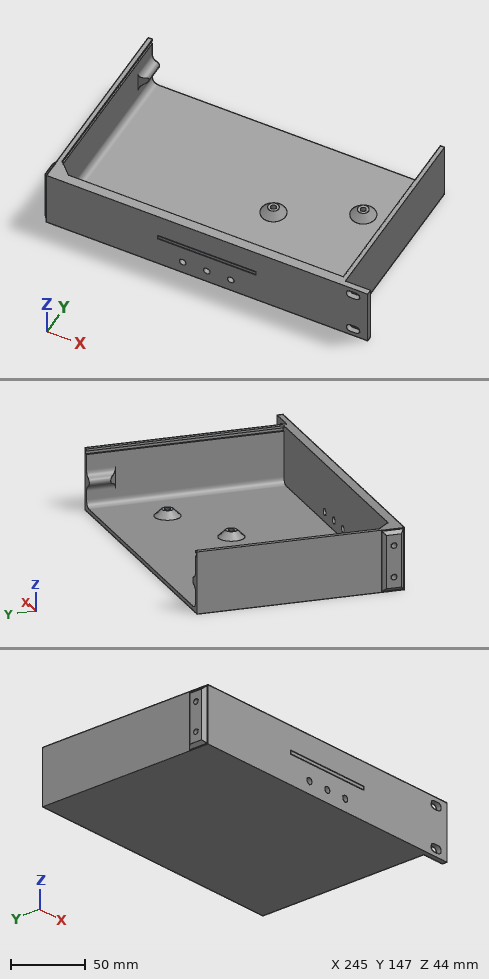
import cadquery as cq
import math

length = 245.0
depth = 147.0
height = 44.0

tab_thickness = 2.7
ear_length = 18.9
ear_thickness = 4.2
wall = 3.2
floor = 3.0
panel_thickness = 7.0
corner_leg = 9.8
floor_fillet = 5.0
tray_left = tab_thickness
tray_right = length - ear_length
inner_left = tray_left + wall
inner_right = tray_right - wall
tray_middle = (tray_left + tray_right) / 2

groove_top = height - 1.5
groove_height = 2.5
groove_depth = 1.7

tab_inset = 0.7
tab_slope = 2.5
tab_back = 16.2
tab_hole_y = 8.3
tab_hole_diameter = 4.0
tab_hole_spacing = 22.3
tab_hole_depth = 7.4

slot_length = 10.0
slot_width = 6.0
slot_x = 234.0
slot_spacing = 31.9

led_diameter = 5.0
led_spacing = 18.1
led_middle_x = 123.8
led_z = 9.8
line_length = 74.0
line_width = 2.7
line_z = 24.5
line_depth = 0.5

standoff_places = [(134.3, 76.0), (188.5, 102.0)]
standoff_base_diameter = 18.1
standoff_top_diameter = 7.8
standoff_height = 5.0
standoff_hole_diameter = 4.0
standoff_hole_depth = standoff_height

rib_nose_radius = 3.0
rib_nose_offset = 2.5
rib_root_fillet = floor_fillet
rib_wall_length = 20.5
rib_z = 21.5


def box(x0, x1, y0, y1, z0, z1):
    """Box between two opposite corners."""
    return cq.Workplane("XY").box(x1 - x0, y1 - y0, z1 - z0, centered=False).translate((x0, y0, z0))


def make_tray():
    """Floor, side walls, panel and ear, with the cavity open at the top and the rear."""
    body = box(tray_left, tray_right, 0, depth, 0, height)
    body = body.union(box(tray_right, length, 0, ear_thickness, 0, height))
    channel = (
        box(inner_left, inner_right, panel_thickness, depth, floor, height + floor_fillet)
        .edges("|Y and <Z")
        .fillet(floor_fillet)
    )
    corner_post = (
        cq.Workplane("XY")
        .moveTo(inner_left, panel_thickness)
        .lineTo(inner_left + corner_leg, panel_thickness)
        .lineTo(inner_left, panel_thickness + corner_leg)
        .close()
        .extrude(height)
    )
    return body.cut(channel).union(corner_post)


def make_lid_grooves():
    """One strip per side wall, reaching the rear; the left one starts behind the corner post."""
    bottom = groove_top - groove_height
    left_front = panel_thickness + corner_leg
    left = box(inner_left - groove_depth, inner_left, left_front, depth, bottom, groove_top)
    right = box(inner_right, inner_right + groove_depth, panel_thickness, depth, bottom, groove_top)
    return left.union(right)


def make_tab():
    """Tab whose four sides slope inwards at 45 degrees."""
    tab = box(0, tray_left, tab_inset, tab_back, tab_inset, height - tab_inset)
    return tab.faces("<X").chamfer(tab_slope)


def make_tab_holes():
    """Two blind holes into the left side."""
    return (
        cq.Workplane("YZ")
        .center(tab_hole_y, height / 2)
        .rarray(2.5, tab_hole_spacing, 1, 2)
        .circle(tab_hole_diameter / 2)
        .extrude(tab_hole_depth)
    )


def make_rib():
    """Rib on the left wall: round nose, concave roots and a front end sloped at 45 degrees."""
    nose_centre = inner_left + rib_nose_offset
    nose_tip = nose_centre + rib_nose_radius
    fillet_x = inner_left + rib_root_fillet
    centre_distance = rib_nose_radius + rib_root_fillet
    half_height = math.sqrt(centre_distance**2 - (fillet_x - nose_centre) ** 2)
    nose_share = rib_nose_radius / centre_distance
    touch_x = nose_centre + nose_share * (fillet_x - nose_centre)
    touch_z = nose_share * half_height
    touch_angle = math.atan2(touch_z - half_height, touch_x - fillet_x)
    middle_angle = (touch_angle - math.pi) / 2
    middle_x = fillet_x + rib_root_fillet * math.cos(middle_angle)
    middle_z = half_height + rib_root_fillet * math.sin(middle_angle)
    embedded_x = inner_left - wall / 2
    profile = (
        cq.Workplane("XZ", origin=(0, depth, rib_z))
        .moveTo(inner_left, half_height)
        .threePointArc((middle_x, middle_z), (touch_x, touch_z))
        .threePointArc((nose_tip, 0), (touch_x, -touch_z))
        .threePointArc((middle_x, -middle_z), (inner_left, -half_height))
        .lineTo(embedded_x, -half_height)
        .lineTo(embedded_x, half_height)
        .close()
        .extrude(rib_wall_length)
    )
    front = depth - rib_wall_length
    reach = nose_tip - inner_left
    slope = (
        cq.Workplane("XY")
        .moveTo(inner_left, front)
        .lineTo(nose_tip, front)
        .lineTo(nose_tip, front + reach)
        .close()
        .extrude(height)
    )
    return profile.cut(slope)


def make_standoff(x, y):
    """Cone frustum standing on the floor."""
    return (
        cq.Workplane("XY", origin=(x, y, floor))
        .circle(standoff_base_diameter / 2)
        .workplane(offset=standoff_height)
        .circle(standoff_top_diameter / 2)
        .loft()
    )


def make_standoff_hole(x, y):
    """Blind hole from the top of a standoff."""
    bottom = floor + standoff_height - standoff_hole_depth
    hole = cq.Workplane("XY", origin=(x, y, bottom)).circle(standoff_hole_diameter / 2)
    return hole.extrude(standoff_hole_depth)


def make_panel_cuts():
    """Rack slots, indicator holes and the decorative line, cut from the front."""
    front = cq.Workplane("XZ")
    slots = (
        front.center(slot_x, height / 2)
        .rarray(2.5, slot_spacing, 1, 2)
        .slot2D(slot_length, slot_width)
        .extrude(-ear_thickness)
    )
    indicators = (
        front.center(led_middle_x, led_z)
        .rarray(led_spacing, 2.5, 3, 1)
        .circle(led_diameter / 2)
        .extrude(-panel_thickness)
    )
    line = front.center(led_middle_x, line_z).rect(line_length, line_width).extrude(-line_depth)
    return slots.union(indicators).union(line)


result = make_tray().cut(make_lid_grooves())
result = result.union(make_tab()).cut(make_tab_holes())

left_rib = make_rib()
right_rib = left_rib.mirror("YZ", (tray_middle, 0, 0))
result = result.union(left_rib).union(right_rib)

for place in standoff_places:
    result = result.union(make_standoff(*place)).cut(make_standoff_hole(*place))

result = result.cut(make_panel_cuts())